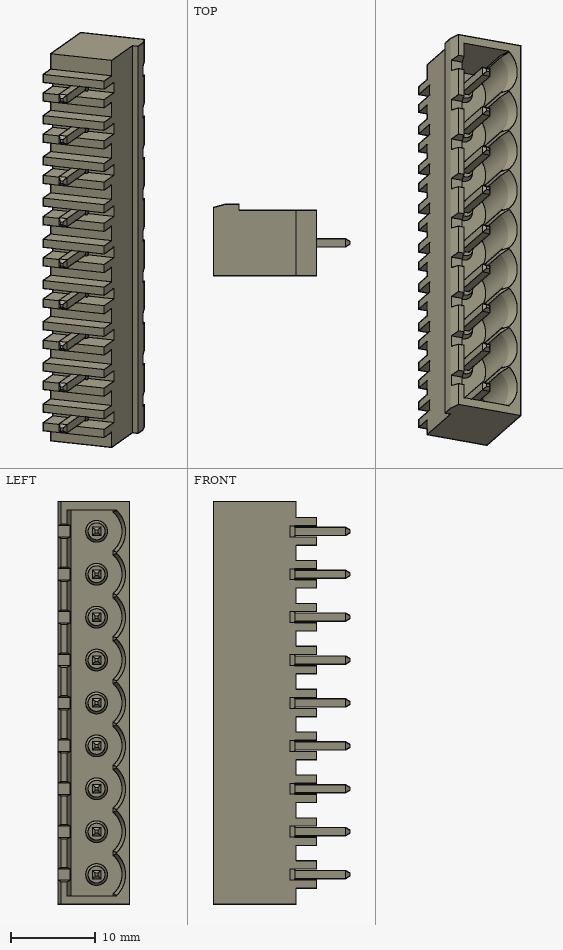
import cadquery as cq


length = 47.7
pin_count = 9
end_wall = 1.0
cavity_length = length - 2 * end_wall
pitch = cavity_length / pin_count
first_pin_z = end_wall + pitch / 2
pin_zs = [first_pin_z + i * pitch for i in range(pin_count)]
pin_y = 3.9

body_depth = 9.8
body_width = 7.8
lip_depth = 3.05
lip_width = 8.5
lip_slope = 0.4
lip_slope_depth = 1.45

cavity_top_y = 6.95
floor_x = 8.1
ridge_y = 1.95
scallop_radius = 3.0
mouth_flare = 0.45
mouth_flare_depth = 1.57

notch_depth = 1.3
notch_base_height = 1.35
notch_mouth_height = 1.7

standoff_end_x = 12.2
standoff_height = 3.3
slot_start_x = 9.05
slot_height = 1.3

pin_side = 1.0
pin_point_side = 0.35
pin_start_x = 0.8
pin_end_x = 16.2
pin_point_length = 0.52
shoulder_end_x = 9.65

boss_base_radius = 1.3
boss_top_radius = 1.0
boss_height = 0.7


def box(x_range, y_range, z_range):
    """Box spanning the given (start, end) ranges."""
    sizes = [end - start for start, end in (x_range, y_range, z_range)]
    corner = (x_range[0], y_range[0], z_range[0])
    return cq.Workplane("XY").box(*sizes, centered=False).translate(corner)


def pin_box(x_range, width, height, z):
    """Box centred on the axis of the pin at height z."""
    return box(x_range, (pin_y - width / 2, pin_y + width / 2), (z - height / 2, z + height / 2))


def housing():
    """Body with the lip of the keyed wall, its outer edge sloped at the mouth."""
    outline = [
        (0, 0),
        (body_depth, 0),
        (body_depth, body_width),
        (lip_depth, body_width),
        (lip_depth, lip_width),
        (lip_slope_depth, lip_width),
        (0, lip_width - lip_slope),
    ]
    return cq.Workplane("XY").polyline(outline).close().extrude(length)


def cavity():
    """Straight cavity with a scallop per pin, flared at the mouth towards both long walls."""
    scallop_limits = box((0, floor_x), (0, cavity_top_y), (end_wall, length - end_wall))
    outline = [
        (0, ridge_y - mouth_flare),
        (mouth_flare_depth, ridge_y),
        (floor_x, ridge_y),
        (floor_x, cavity_top_y),
        (mouth_flare_depth, cavity_top_y),
        (0, cavity_top_y + mouth_flare),
    ]
    pocket = cq.Workplane("XY", origin=(0, 0, end_wall)).polyline(outline).close().extrude(cavity_length)
    for z in pin_zs:
        pocket = pocket.union(scallop(z).intersect(scallop_limits))
    return pocket


def scallop(z):
    """Round recess around the pin axis, coned outwards at the mouth."""
    section = [
        (0, 0),
        (0, scallop_radius + mouth_flare),
        (mouth_flare_depth, scallop_radius),
        (floor_x, scallop_radius),
        (floor_x, 0),
    ]
    profile = cq.Workplane("XY", origin=(0, pin_y, z)).polyline(section).close()
    return profile.revolve(360, (0, 0, 0), (1, 0, 0))


def notch(z):
    """Notch through the keyed wall, wider at the mouth."""
    outline = [
        (0, z - notch_mouth_height / 2),
        (notch_depth, z - notch_base_height / 2),
        (notch_depth, z + notch_base_height / 2),
        (0, z + notch_mouth_height / 2),
    ]
    plane = cq.Workplane("XZ", origin=(0, lip_width, 0))
    return plane.polyline(outline).close().extrude(lip_width - cavity_top_y)


def rear_block(z, height):
    """Block across the width of the housing, from inside its back wall to the standoff ends."""
    x_range = (slot_start_x, standoff_end_x)
    return box(x_range, (0, body_width), (z - height / 2, z + height / 2))


def pin_point(base_x, direction, z):
    """Blunt pyramid on the end of a pin, pointing along +X or -X."""
    return (
        cq.Workplane("YZ", origin=(base_x, pin_y, z))
        .rect(pin_side, pin_side)
        .workplane(offset=direction * pin_point_length)
        .rect(pin_point_side, pin_point_side)
        .loft()
    )


def pin(z):
    """Square pin pointed at both ends, with a shoulder in the slot and a boss on the floor."""
    front_x = pin_start_x + pin_point_length
    back_x = pin_end_x - pin_point_length
    shaft = pin_box((front_x, back_x), pin_side, pin_side, z)
    shoulder = pin_box((slot_start_x, shoulder_end_x), slot_height, slot_height, z)
    boss = (
        cq.Workplane("YZ", origin=(floor_x, pin_y, z))
        .circle(boss_base_radius)
        .workplane(offset=-boss_height)
        .circle(boss_top_radius)
        .loft()
    )
    points = pin_point(front_x, -1, z).union(pin_point(back_x, 1, z))
    return shaft.union(points).union(shoulder).union(boss)


result = housing().cut(cavity())
for z in pin_zs:
    standoff = rear_block(z, standoff_height)
    slot = rear_block(z, slot_height)
    result = result.cut(notch(z)).union(standoff).cut(slot).union(pin(z))